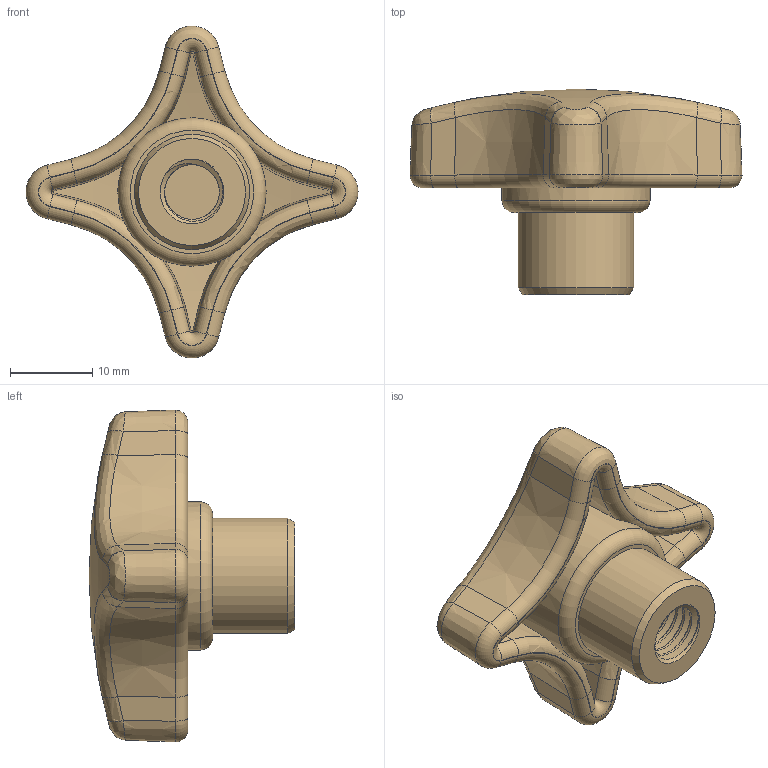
import cadquery as cq
import math

total_height = 25.0
rim_height = 13.0
arm_reach = 20.22
arm_tip_radius = 3.4
arm_half_angle = 14.0
valley_radius = 14.7
draft_angle = 2.0
crown_radius = 69.0
crown_edge_fillet = 2.0
wall_thickness = 3.05
crown_thickness = 3.0
rim_fillet = 1.5
arm_count = 4

hub_radius = 9.0
hub_height = 10.0
hub_fillet = 1.5

insert_radius = 7.0
insert_length = 20.0
insert_chamfer_width = 0.5
insert_chamfer_height = 0.85
thread_radius = 4.0
thread_pitch = 1.25
bore_radius = 3.3235
bore_depth = 15.0
thread_length = 12.5
thread_start = -0.9
mouth_radius = 3.87
mouth_chamfer_height = mouth_radius - bore_radius
thread_groove_width = 0.75 * thread_pitch
thread_root_width = 0.125 * thread_pitch
thread_overlap = 0.05

tip_centre = arm_reach - arm_tip_radius
draft_slope = math.tan(math.radians(draft_angle))


def star_wire(height, inset):
    """Star outline at a height, moved inwards by inset."""
    half_angle = math.radians(arm_half_angle)
    tip_radius = arm_tip_radius - inset
    side_radius = valley_radius + inset
    side_distance = tip_centre * math.sin(half_angle) + arm_tip_radius
    valley_centre = (side_distance + valley_radius) / (math.sin(half_angle) + math.cos(half_angle))
    normal_along = math.sin(half_angle)
    normal_across = math.cos(half_angle)
    tip_end_along = tip_centre + tip_radius * normal_along
    tip_end_across = tip_radius * normal_across
    side_end_along = valley_centre - side_radius * normal_along
    side_end_across = valley_centre - side_radius * normal_across
    valley_middle = valley_centre - side_radius / math.sqrt(2)

    edges = []
    for arm in range(arm_count):
        turn = 2 * math.pi * arm / arm_count

        def place(along, across, turn=turn):
            x = along * math.cos(turn) - across * math.sin(turn)
            z = along * math.sin(turn) + across * math.cos(turn)
            return cq.Vector(x, height, z)

        tip_start = place(tip_end_along, -tip_end_across)
        tip_middle = place(tip_centre + tip_radius, 0)
        tip_end = place(tip_end_along, tip_end_across)
        valley_start = place(side_end_along, side_end_across)
        valley_end = place(side_end_across, side_end_along)
        next_tip_start = place(tip_end_across, tip_end_along)
        edges.append(cq.Edge.makeThreePointArc(tip_start, tip_middle, tip_end))
        edges.append(cq.Edge.makeLine(tip_end, valley_start))
        edges.append(cq.Edge.makeThreePointArc(valley_start, place(valley_middle, valley_middle), valley_end))
        edges.append(cq.Edge.makeLine(valley_end, next_tip_start))
    return cq.Wire.assembleEdges(edges)


def drafted_star(inset, top):
    """Star prism from the rim plane up to top, narrowing by the draft angle."""
    top_inset = inset + (top - rim_height) * draft_slope
    loft = cq.Solid.makeLoft([star_wire(rim_height, inset), star_wire(top, top_inset)], True)
    return cq.Workplane("XY").newObject([loft])


def dome(apex, radius):
    """Solid of revolution under a spherical dome with the given apex height."""
    edge_radius = arm_reach + 1
    edge_height = apex - radius + math.sqrt(radius ** 2 - edge_radius ** 2)
    middle_radius = edge_radius / 2
    middle_height = apex - radius + math.sqrt(radius ** 2 - middle_radius ** 2)
    return (
        cq.Workplane("XY")
        .moveTo(0, 0)
        .lineTo(edge_radius, 0)
        .lineTo(edge_radius, edge_height)
        .threePointArc((middle_radius, middle_height), (0, apex))
        .close()
        .revolve(360, (0, 0), (0, 1))
    )


def make_handle():
    star = drafted_star(0, total_height).intersect(dome(total_height, crown_radius))
    crown = star.faces("%SPHERE")
    star = crown.edges().fillet(crown_edge_fillet)
    floor_apex = total_height - crown_thickness
    pocket = drafted_star(wall_thickness, floor_apex)
    pocket = pocket.intersect(dome(floor_apex, crown_radius - crown_thickness))
    shell = star.cut(pocket)
    shell = shell.faces("<Y").edges().fillet(rim_fillet)

    hub = (
        cq.Workplane("XZ", origin=(0, hub_height, 0))
        .circle(hub_radius)
        .extrude(-(total_height - crown_thickness / 2 - hub_height))
        .faces("<Y")
        .edges()
        .fillet(hub_fillet)
    )
    insert_seat = cq.Workplane("XZ").circle(insert_radius).extrude(-insert_length)
    return shell.union(hub).cut(insert_seat)


def make_thread_groove():
    """Helical cutter with a trapezoidal section, from just outside the mouth into the bore."""
    inner_radius = bore_radius - thread_overlap
    flank_slope = (thread_groove_width - thread_root_width) / 2 / (thread_radius - bore_radius)
    inner_half_width = thread_groove_width / 2 + flank_slope * thread_overlap
    root_half_width = thread_root_width / 2
    helix = cq.Wire.makeHelix(thread_pitch, thread_length - thread_start, bore_radius)
    groove = (
        cq.Workplane("XZ")
        .polyline([
            (inner_radius, -inner_half_width),
            (thread_radius, -root_half_width),
            (thread_radius, root_half_width),
            (inner_radius, inner_half_width),
        ])
        .close()
        .sweep(helix, isFrenet=True)
    )
    return groove.rotate((0, 0, 0), (1, 0, 0), -90).translate((0, thread_start, 0))


def make_insert():
    tip_radius = insert_radius - insert_chamfer_width
    profile = [
        (0, bore_depth),
        (bore_radius, bore_depth),
        (bore_radius, mouth_chamfer_height),
        (mouth_radius, 0),
        (tip_radius, 0),
        (insert_radius, insert_chamfer_height),
        (insert_radius, insert_length),
        (0, insert_length),
    ]
    blank = cq.Workplane("XY").polyline(profile).close().revolve(360, (0, 0), (0, 1))
    return blank.cut(make_thread_groove())


handle = make_handle()
insert = make_insert()
result = cq.Compound.makeCompound([handle.val(), insert.val()])